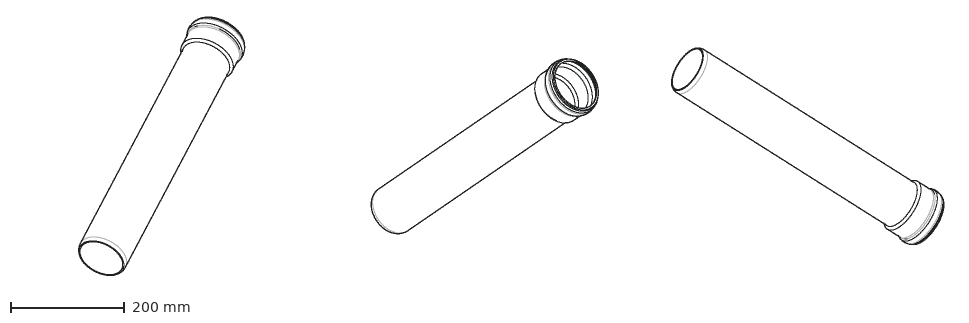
import cadquery as cq
import math

length = 556.0
pipe_radius = 90.0 / 2
bore_radius = 81.0 / 2

rounding_length = 8.0
rounding_depth = 2.0

socket_outer_radius = 100.0 / 2
socket_inner_radius = 90.5 / 2
socket_depth = 54.5
shoulder_length = 4.5

bead_outer_radius = 107.5 / 2
groove_radius = 99.0 / 2
bead_edge_radius = 53.0
bead_start = 9.0
bead_end = 19.0
bead_middle = (bead_start + bead_end) / 2

lip_length = 2.0
lip_rounding = 1.0
flank_depth = 5.5
flank_radius = 52.0

back_flank_end = 22.0
back_flank_radius = 50.5
blend_end = 25.5

plain_end = -length / 2
mouth = length / 2
socket_floor = mouth - socket_depth
shoulder_end = socket_floor - shoulder_length

rounding_radius = (rounding_length**2 + rounding_depth**2) / (2 * rounding_depth)
half_angle = math.asin(rounding_length / rounding_radius) / 2
rounding_middle = (
    pipe_radius - rounding_radius * (1 - math.cos(half_angle)),
    plain_end + rounding_length - rounding_radius * math.sin(half_angle),
)


def wall_profile():
    """Half section of the pipe wall: X is the radius, Y the axis."""
    return (
        cq.Workplane("XY")
        .moveTo(bore_radius, plain_end)
        .lineTo(pipe_radius - rounding_depth, plain_end)
        .threePointArc(rounding_middle, (pipe_radius, plain_end + rounding_length))
        .lineTo(pipe_radius, shoulder_end)
        .lineTo(socket_outer_radius, socket_floor)
        .lineTo(socket_outer_radius, mouth - blend_end)
        .tangentArcPoint((back_flank_radius, mouth - back_flank_end), relative=False)
        .lineTo(bead_edge_radius, mouth - bead_end)
        .threePointArc((bead_outer_radius, mouth - bead_middle), (bead_edge_radius, mouth - bead_start))
        .lineTo(flank_radius, mouth - flank_depth)
        .lineTo(socket_outer_radius, mouth - lip_length)
        .radiusArc((socket_outer_radius - lip_rounding, mouth), -lip_length)
        .lineTo(socket_inner_radius, mouth)
        .lineTo(socket_inner_radius, mouth - lip_length)
        .lineTo(groove_radius, mouth - bead_start)
        .lineTo(groove_radius, mouth - bead_end)
        .lineTo(socket_inner_radius, mouth - blend_end)
        .lineTo(socket_inner_radius, socket_floor)
        .lineTo(bore_radius, shoulder_end)
        .close()
    )


result = wall_profile().revolve(360, (0, 0, 0), (0, 1, 0))